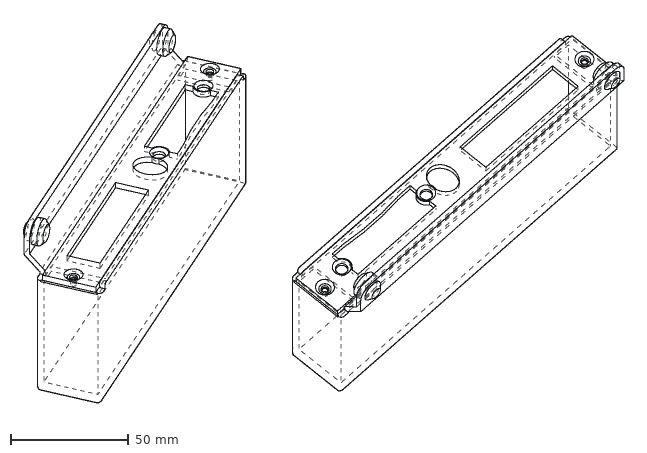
import cadquery as cq
import math

box_length = 172.0
box_width = 30.0
rim_height = 57.6
wall = 2.5
bend_radius = 2.0
end_bevel = 0.5

overall_height = 80.5
tab_length = 163.0
tab_corner_radius = 1.2
flange_offset = 7.2
flange_bend_height = 65.9
flange_corner_radius = 6.0

foot_spacing = 148.3
foot_height = 74.0
foot_head_diameter = 12.0
foot_head_length = 4.8
foot_tail_diameter = 9.6
foot_tail_tip_diameter = 5.3
foot_tail_length = 2.0
foot_chamfer = 2.0

lid_length = box_length - 2 * end_bevel
lid_width = 24.5
lid_thickness = 2.8
lid_top = rim_height + lid_thickness

screw_spacing = 160.6
connector_hole_diameter = 5.3
countersink_diameter = 8.0
countersink_angle = 90
screw_hole_diameter = 3.3
screw_seat_diameter = 5.3
thread_hole_diameter = 2.4
screw_seat_depth = (countersink_diameter - screw_seat_diameter) / 2

opening_width = 15.1
connector_center_x = 1.9
connector_center_y = 41.8
connector_length = 48.2
connector_screw_spacing = 52.3
connector_boss_diameter = 9.0
bulge_length = 34.4
bulge_depth = 1.0
oval_height = 12.5
oval_center_y = 5.3
plain_slot_length = 57.1
plain_slot_center_y = -39.9

outer_x = box_width / 2
inner_x = outer_x - wall
lip_length = box_length - screw_spacing


def box_block():
    """Block with rounded upright edges and rounded long bottom edges, mitred at the corners."""
    upright = cq.Workplane("XY").rect(box_width, box_length).extrude(rim_height).edges("|Z").fillet(bend_radius)
    lengthwise = (
        cq.Workplane("XZ")
        .rect(box_width, 2 * rim_height)
        .extrude(box_length / 2, both=True)
        .edges("|Y")
        .fillet(bend_radius)
        .translate((0, 0, rim_height))
    )
    return upright.intersect(lengthwise)


def box_cavity():
    """Hollow of the box, leaving a lip under each end of the lid."""
    hollow = (
        cq.Workplane("XY")
        .workplane(offset=wall)
        .rect(2 * inner_x, box_length - 2 * wall)
        .extrude(rim_height - wall)
    )
    for end in (-1, 1):
        lip = cq.Workplane("XY").box(box_width, lip_length, wall).translate(
            (0, end * screw_spacing / 2, rim_height - wall / 2)
        )
        hollow = hollow.cut(lip)
    return hollow


def flange():
    """Top of the -X wall, bent outwards at 45 degrees and then upright again."""
    slope = math.radians(45)
    half_slope = slope / 2
    bend_shift = wall * math.tan(half_slope)
    flange_x = -outer_x - flange_offset
    lower_bend_height = flange_bend_height - flange_offset

    def convex_point(angle):
        return (-outer_x + wall * math.cos(angle), lower_bend_height + wall * math.sin(angle))

    return (
        cq.Workplane("XZ")
        .moveTo(-outer_x, rim_height)
        .lineTo(-outer_x, lower_bend_height)
        .lineTo(flange_x, flange_bend_height)
        .lineTo(flange_x, overall_height)
        .lineTo(flange_x + wall, overall_height)
        .lineTo(flange_x + wall, flange_bend_height + bend_shift)
        .lineTo(*convex_point(slope))
        .threePointArc(convex_point(half_slope), convex_point(0))
        .lineTo(-inner_x, rim_height)
        .close()
        .extrude(tab_length / 2, both=True)
        .edges("|X and >Z")
        .fillet(flange_corner_radius)
    )


def straight_tab():
    """Top of the +X wall, level with the top of the lid."""
    return (
        cq.Workplane("XY")
        .box(wall, tab_length, lid_thickness)
        .edges("|X and >Z")
        .fillet(tab_corner_radius)
        .translate((outer_x - wall / 2, 0, rim_height + lid_thickness / 2))
    )


def foot(y):
    """Rivet-like foot: a chamfered head inside the flange and a tapered tail outside."""
    outside_x = -outer_x - flange_offset
    inside_x = outside_x + wall
    tip_x = outside_x - foot_tail_length
    head_x = inside_x + foot_head_length
    head_radius = foot_head_diameter / 2
    profile = [
        (tip_x, 0),
        (tip_x, foot_tail_tip_diameter / 2),
        (outside_x, foot_tail_diameter / 2),
        (inside_x, foot_tail_diameter / 2),
        (inside_x, head_radius),
        (head_x - foot_chamfer, head_radius),
        (head_x, head_radius - foot_chamfer),
        (head_x, 0),
    ]
    turned = cq.Workplane("XY").polyline(profile).close().revolve(360, (0, 0, 0), (1, 0, 0))
    return turned.translate((0, y, foot_height))


def rim_bevel(end):
    """Wedge that bevels the flat top edge of one end wall."""
    end_y = end * box_length / 2
    profile = [
        (end_y, rim_height),
        (end_y - end * end_bevel, rim_height),
        (end_y, rim_height - end_bevel),
    ]
    flat_width = box_width - 2 * bend_radius
    return cq.Workplane("YZ").polyline(profile).close().extrude(flat_width / 2, both=True)


def make_housing():
    body = box_block().cut(box_cavity()).union(flange()).union(straight_tab())
    for end in (-1, 1):
        body = body.cut(rim_bevel(end))
        body = body.union(foot(end * foot_spacing / 2))
        thread_hole = (
            cq.Workplane("XY")
            .workplane(offset=rim_height - wall)
            .center(0, end * screw_spacing / 2)
            .circle(thread_hole_diameter / 2)
            .extrude(wall)
        )
        body = body.cut(thread_hole)
    return body


def connector_opening():
    """Rectangular opening whose +X side bulges inwards along its middle."""
    left = connector_center_x - opening_width / 2
    right = connector_center_x + opening_width / 2
    bottom = connector_center_y - connector_length / 2
    top = connector_center_y + connector_length / 2
    return (
        cq.Workplane("XY")
        .workplane(offset=rim_height)
        .moveTo(left, bottom)
        .lineTo(right, bottom)
        .lineTo(right, connector_center_y - bulge_length / 2)
        .threePointArc(
            (right - bulge_depth, connector_center_y),
            (right, connector_center_y + bulge_length / 2),
        )
        .lineTo(right, top)
        .lineTo(left, top)
        .close()
        .extrude(lid_thickness)
    )


def oval_opening():
    return (
        cq.Workplane("XY")
        .workplane(offset=rim_height)
        .center(connector_center_x, oval_center_y)
        .ellipse(opening_width / 2, oval_height / 2)
        .extrude(lid_thickness)
    )


def plain_slot():
    return (
        cq.Workplane("XY")
        .workplane(offset=rim_height)
        .center(0, plain_slot_center_y)
        .rect(opening_width, plain_slot_length)
        .extrude(lid_thickness)
    )


def screw_recess():
    """Countersink with a flat seat and a narrower hole on through the lid."""
    seat_radius = screw_seat_diameter / 2
    hole_radius = screw_hole_diameter / 2
    profile = [
        (0, 0),
        (countersink_diameter / 2, 0),
        (seat_radius, -screw_seat_depth),
        (hole_radius, -screw_seat_depth),
        (hole_radius, -lid_thickness),
        (0, -lid_thickness),
    ]
    return cq.Workplane("XZ").polyline(profile).close().revolve(360, (0, 0, 0), (0, 1, 0))


def make_lid():
    connector_screws = [
        (connector_center_x, connector_center_y + end * connector_screw_spacing / 2) for end in (-1, 1)
    ]
    lid_screws = [(0, end * screw_spacing / 2) for end in (-1, 1)]

    bosses = (
        cq.Workplane("XY")
        .workplane(offset=rim_height)
        .pushPoints(connector_screws)
        .circle(connector_boss_diameter / 2)
        .extrude(lid_thickness)
    )
    plate = cq.Workplane("XY").workplane(offset=rim_height).rect(lid_width, lid_length).extrude(lid_thickness)
    plate = plate.cut(connector_opening()).cut(oval_opening()).cut(plain_slot()).union(bosses)
    plate = (
        plate.faces(">Z")
        .workplane(origin=(0, 0, lid_top))
        .pushPoints(connector_screws)
        .cskHole(connector_hole_diameter, countersink_diameter, countersink_angle)
    )
    for x, y in lid_screws:
        plate = plate.cut(screw_recess().translate((x, y, lid_top)))
    return plate


housing = make_housing()
lid = make_lid()
result = cq.Compound.makeCompound([housing.val(), lid.val()])